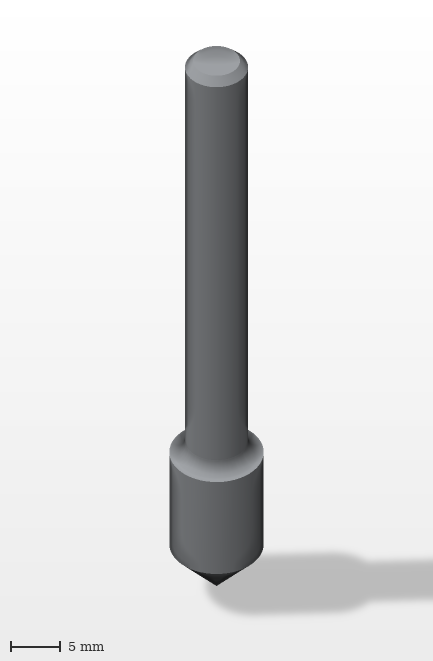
import cadquery as cq

TOTAL_LENGTH = 68.3
HEAD_DIAMETER = 9.5
SHANK_DIAMETER = 6.35
TIP_LENGTH = 5.5
HEAD_LENGTH = 11.95
END_CHAMFER = 0.8

HEAD_RADIUS = HEAD_DIAMETER / 2
SHANK_RADIUS = SHANK_DIAMETER / 2
SHOULDER_Z = TIP_LENGTH + HEAD_LENGTH
SHANK_LENGTH = TOTAL_LENGTH - SHOULDER_Z
SHOULDER_FILLET_RADIUS = HEAD_RADIUS - SHANK_RADIUS


def make_shoulder_fillet():
    """Concave ring blending the shank into the rim of the head."""
    radius = SHOULDER_FILLET_RADIUS
    arc_offset = radius * (1 - 0.5 ** 0.5)
    profile = (
        cq.Workplane("XZ")
        .moveTo(0, SHOULDER_Z)
        .lineTo(HEAD_RADIUS, SHOULDER_Z)
        .threePointArc(
            (SHANK_RADIUS + arc_offset, SHOULDER_Z + arc_offset),
            (SHANK_RADIUS, SHOULDER_Z + radius),
        )
        .lineTo(0, SHOULDER_Z + radius)
        .close()
    )
    return profile.revolve(360, (0, 0, 0), (0, 1, 0))


def make_stem():
    """Thick cylindrical head carrying the long shank with a chamfered end."""
    head = cq.Workplane("XY").workplane(offset=TIP_LENGTH).circle(HEAD_RADIUS).extrude(HEAD_LENGTH)
    shank = cq.Workplane("XY").workplane(offset=SHOULDER_Z).circle(SHANK_RADIUS).extrude(SHANK_LENGTH)
    shank = shank.faces(">Z").edges().chamfer(END_CHAMFER)
    return head.union(make_shoulder_fillet()).union(shank)


def make_tip():
    """Sharp cone, point down, seated against the flat underside of the head."""
    return cq.Workplane(cq.Solid.makeCone(0, HEAD_RADIUS, TIP_LENGTH))


stem = make_stem()
tip = make_tip()

result = cq.Compound.makeCompound([stem.solids().val(), tip.val()])